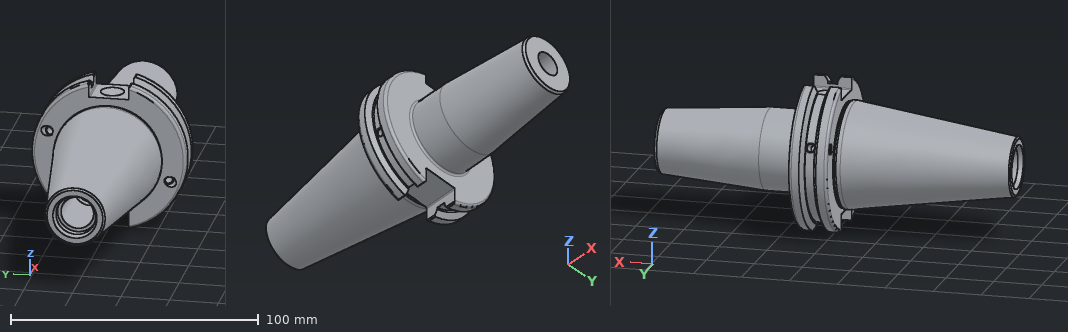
import cadquery as cq
import math


shank_length = 68.25
projection = 80.0
flange_front = 19.1
flange_width = 16.0
groove_center = 11.1
gauge_land_length = 1.7
gauge_chamfer = 0.85
nose_cylinder_end = 35.4

gauge_radius = 44.45 / 2
taper_slope = 7 / 48
shank_end_chamfer_radial = 0.8
shank_end_chamfer_axial = 0.5
neck_radius = 43.6 / 2

flange_radius = 63.55 / 2
groove_floor_radius = 56.25 / 2
groove_floor_width = 3.9
groove_mouth_width = 7.1
groove_side_angle = 30.0
flange_edge_radius = 1.2

nose_radius = 34.0 / 2
nose_end_radius = 27.0 / 2
nose_root_fillet = 0.9
nose_chamfer_radial = 0.7
nose_chamfer_axial = 1.2

through_radius = 10.92 / 2
thread_core_radius = 13.39 / 2
pilot_radius = 16.3 / 2
entry_radius = 18.1 / 2
entry_cone_depth = 2.0
pilot_depth = 5.2
thread_depth = 32.0
drill_tip_half_angle = 59.0

slot_width = 16.4
slot_edge_chamfer = 0.55
slot_floor_fillet = 0.4
upper_slot_floor = 25.0
lower_slot_floor = 22.8
dimple_diameter = 9.53

coolant_angle = 20.0
coolant_pitch_radius = 27.0
coolant_mouth_diameter = 4.2
coolant_mouth_depth = 1.9
coolant_diameter = 3.24
coolant_tilt = 30.0
plug_hole_diameter = 3.24
plug_countersink_diameter = 4.0

cutter_clearance = 1.0

shank_end = -shank_length
flange_back = flange_front - flange_width


def revolve_profile(points):
    """Solid of revolution about X from (x, radius) points."""
    return cq.Workplane("XY").polyline(points).close().revolve(360, (0, 0, 0), (1, 0, 0))


def make_shank():
    end_radius = gauge_radius - shank_length * taper_slope
    chamfer_x = shank_end + shank_end_chamfer_axial
    neck_start = gauge_land_length + gauge_chamfer
    return revolve_profile([
        (shank_end, 0),
        (shank_end, end_radius - shank_end_chamfer_radial),
        (chamfer_x, end_radius + shank_end_chamfer_axial * taper_slope),
        (0, gauge_radius),
        (gauge_land_length, gauge_radius),
        (neck_start, neck_radius),
        (flange_back, neck_radius),
        (flange_back, 0),
    ])


def make_flange():
    blank = (
        cq.Workplane("YZ", origin=(flange_back, 0, 0))
        .circle(flange_radius)
        .extrude(flange_width)
        .edges("%CIRCLE")
        .fillet(flange_edge_radius)
    )
    half_floor = groove_floor_width / 2
    half_mouth = groove_mouth_width / 2
    side_depth = (half_mouth - half_floor) / math.tan(math.radians(groove_side_angle))
    wall_radius = flange_radius - side_depth
    groove = revolve_profile([
        (groove_center - half_floor, groove_floor_radius),
        (groove_center - half_floor, wall_radius),
        (groove_center - half_mouth, flange_radius),
        (groove_center + half_mouth, flange_radius),
        (groove_center + half_floor, wall_radius),
        (groove_center + half_floor, groove_floor_radius),
    ])
    return blank.cut(groove)


def make_nose():
    fillet_center = (flange_front + nose_root_fillet, nose_radius + nose_root_fillet)
    fillet_reach = nose_root_fillet * math.sqrt(0.5)
    fillet_middle = (fillet_center[0] - fillet_reach, fillet_center[1] - fillet_reach)
    return (
        cq.Workplane("XY")
        .moveTo(flange_front, 0)
        .lineTo(flange_front, fillet_center[1])
        .threePointArc(fillet_middle, (fillet_center[0], nose_radius))
        .lineTo(nose_cylinder_end, nose_radius)
        .lineTo(projection - nose_chamfer_axial, nose_end_radius)
        .lineTo(projection, nose_end_radius - nose_chamfer_radial)
        .lineTo(projection, 0)
        .close()
        .revolve(360, (0, 0, 0), (1, 0, 0))
    )


def make_bore():
    tip_length = (thread_core_radius - through_radius) / math.tan(math.radians(drill_tip_half_angle))
    return revolve_profile([
        (shank_end, 0),
        (shank_end, entry_radius),
        (shank_end + entry_cone_depth, pilot_radius),
        (shank_end + pilot_depth, pilot_radius),
        (shank_end + pilot_depth, thread_core_radius),
        (shank_end + thread_depth, thread_core_radius),
        (shank_end + thread_depth + tip_length, through_radius),
        (projection, through_radius),
        (projection, 0),
    ])


def make_drive_slot(floor, side):
    """Cutter for one drive slot; side is +1 for the top and -1 for the bottom."""
    half_width = slot_width / 2
    half_mouth = half_width + slot_edge_chamfer
    mouth = math.sqrt(flange_radius**2 - half_mouth**2)
    chamfer_start = mouth - slot_edge_chamfer
    outside = flange_radius + cutter_clearance
    outline = [
        (-half_width, side * floor),
        (-half_width, side * chamfer_start),
        (-half_mouth, side * mouth),
        (-half_mouth, side * outside),
        (half_mouth, side * outside),
        (half_mouth, side * mouth),
        (half_width, side * chamfer_start),
        (half_width, side * floor),
    ]
    slot = cq.Workplane("YZ", origin=(flange_back, 0, 0)).polyline(outline).close().extrude(flange_width)
    floor_edges = "|X and <Z" if side > 0 else "|X and >Z"
    return slot.edges(floor_edges).fillet(slot_floor_fillet)


def make_dimple():
    radius = dimple_diameter / 2
    depth = radius / math.tan(math.radians(drill_tip_half_angle))
    cone = cq.Solid.makeCone(
        radius, 0, depth, cq.Vector(groove_center, 0, upper_slot_floor), cq.Vector(0, 0, -1)
    )
    return cq.Workplane(cone)


def drill(diameter, length, start, direction, lead=0.0):
    """Cylinder from start along direction, begun a lead distance before start."""
    axis = direction.normalized()
    return cq.Solid.makeCylinder(diameter / 2, length + lead, start - axis * lead, axis)


def make_coolant_holes(angle):
    """Leaning hole from the flange back and radial plug hole from the groove floor."""
    radial = cq.Vector(0, math.cos(math.radians(angle)), math.sin(math.radians(angle)))
    tilt = math.radians(coolant_tilt)
    lean = cq.Vector(math.cos(tilt), 0, 0) - radial * math.sin(tilt)
    mouth_center = cq.Vector(flange_back, 0, 0) + radial * coolant_pitch_radius
    passage_length = (groove_center - flange_back) / math.cos(tilt)
    meeting_radius = coolant_pitch_radius - passage_length * math.sin(tilt)
    plug_depth = groove_floor_radius - meeting_radius + plug_hole_diameter / 2
    mouth_lead = coolant_mouth_diameter * math.tan(tilt) + cutter_clearance
    mouth = drill(
        coolant_mouth_diameter, coolant_mouth_depth, mouth_center, lean, mouth_lead
    )
    passage = drill(coolant_diameter, passage_length, mouth_center, lean)
    floor_center = cq.Vector(groove_center, 0, 0) + radial * groove_floor_radius
    plug = drill(plug_hole_diameter, plug_depth, floor_center, radial * -1, cutter_clearance)
    countersink_depth = (plug_countersink_diameter - plug_hole_diameter) / 2
    countersink = cq.Solid.makeCone(
        plug_countersink_diameter / 2, plug_hole_diameter / 2, countersink_depth, floor_center, radial * -1
    )
    return cq.Workplane(mouth.fuse(passage, plug, countersink))


result = make_shank().union(make_flange()).union(make_nose())
result = result.cut(make_bore())
result = result.cut(make_drive_slot(upper_slot_floor, 1))
result = result.cut(make_drive_slot(lower_slot_floor, -1))
result = result.cut(make_dimple())
for hole_angle in (coolant_angle, coolant_angle + 180):
    result = result.cut(make_coolant_holes(hole_angle))